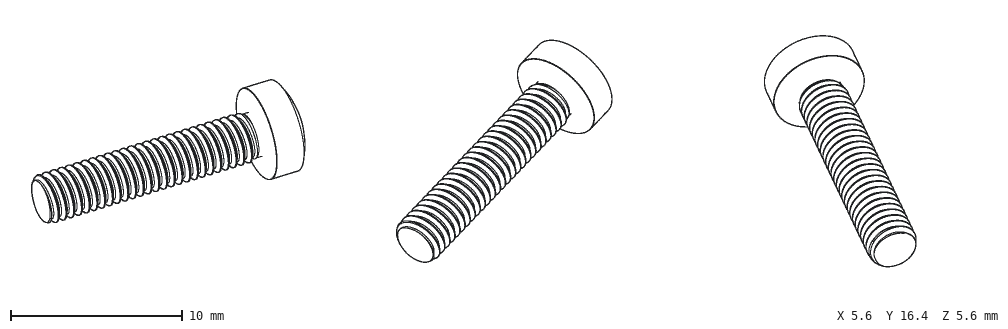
import cadquery as cq
import math

total_length = 16.4
head_diameter = 5.6
head_height = 2.4
dome_radius = 5.0
head_top_diameter = 2.98
head_edge_chamfer = 0.025

neck_diameter = 2.69
neck_length = 0.48
neck_fillet = 0.1

thread_diameter = 3.0
thread_pitch = thread_diameter / 6
thread_flank_angle = 60.0
crest_width = thread_pitch / 8
root_width = thread_pitch / 4
tip_diameter = neck_diameter
thread_taper_length = 0.35
tip_dome_height = 0.03
segment_turns = 2
thread_overlap = 0.03

head_radius = head_diameter / 2
head_top_radius = head_top_diameter / 2
neck_radius = neck_diameter / 2
thread_radius = thread_diameter / 2
tip_radius = tip_diameter / 2
flank_slope = math.tan(math.radians(thread_flank_angle / 2))
thread_depth = (thread_pitch - crest_width - root_width) / 2 / flank_slope
core_radius = thread_radius - thread_depth
tip_dome_radius = (core_radius**2 + tip_dome_height**2) / (2 * tip_dome_height)

tip_y = -total_length / 2
tip_rim_y = tip_y + tip_dome_height
head_top_y = total_length / 2
head_base_y = head_top_y - head_height
thread_top_y = head_base_y - neck_length


def dome_point(radius):
    """Point on the spherical dome, which passes through the rim of the flat head top."""
    centre_y = head_top_y - math.sqrt(dome_radius**2 - head_top_radius**2)
    return radius, centre_y + math.sqrt(dome_radius**2 - radius**2)


def make_head():
    """Cylindrical head with a chamfered underside edge and a flat-topped dome."""
    profile = (
        cq.Workplane("XY")
        .moveTo(0, head_base_y)
        .lineTo(head_radius - head_edge_chamfer, head_base_y)
        .lineTo(head_radius, head_base_y + head_edge_chamfer)
        .lineTo(*dome_point(head_radius))
        .threePointArc(dome_point((head_radius + head_top_radius) / 2), dome_point(head_top_radius))
        .lineTo(0, head_top_y)
        .close()
    )
    return profile.revolve(360, (0, 0, 0), (0, 1, 0))


def make_neck():
    """Plain neck that flares into the underside of the head."""
    fillet_y = head_base_y - neck_fillet
    fillet_mid = neck_fillet * (1 - math.sqrt(0.5))
    profile = (
        cq.Workplane("XY")
        .moveTo(0, thread_top_y)
        .lineTo(neck_radius, thread_top_y)
        .lineTo(neck_radius, fillet_y)
        .threePointArc(
            (neck_radius + fillet_mid, head_base_y - fillet_mid),
            (neck_radius + neck_fillet, head_base_y),
        )
        .lineTo(0, head_base_y)
        .close()
    )
    return profile.revolve(360, (0, 0, 0), (0, 1, 0))


def make_thread_envelope():
    """Thread outer cylinder, tapered towards the tip and towards the neck."""
    profile = (
        cq.Workplane("XY")
        .moveTo(0, tip_rim_y)
        .lineTo(tip_radius, tip_rim_y)
        .lineTo(thread_radius, tip_rim_y + thread_taper_length)
        .lineTo(thread_radius, thread_top_y - thread_taper_length)
        .lineTo(neck_radius, thread_top_y)
        .lineTo(0, thread_top_y)
        .close()
    )
    return profile.revolve(360, (0, 0, 0), (0, 1, 0))


def make_ridge(start_y, length):
    """Right-hand helical thread ridge along Y, bounded by ruled surfaces between helices."""
    base_radius = core_radius - thread_overlap
    half_crest = crest_width / 2
    half_base = half_crest + (thread_radius - base_radius) * flank_slope
    section = [
        (base_radius, -half_base),
        (thread_radius, -half_crest),
        (thread_radius, half_crest),
        (base_radius, half_base),
    ]
    helices = [
        cq.Wire.makeHelix(thread_pitch, length, radius).translate(cq.Vector(0, 0, offset))
        for radius, offset in section
    ]
    sides = [
        cq.Face.makeRuledSurface(helix, helices[(i + 1) % len(helices)]) for i, helix in enumerate(helices)
    ]
    faces = [face for side in sides for face in side.Faces()]
    for height in (0, length):
        corners = [cq.Vector(radius, 0, height + offset) for radius, offset in section]
        faces.append(cq.Face.makeFromWires(cq.Wire.makePolygon(corners, close=True)))
    ridge = cq.Solid.makeSolid(cq.Shell.makeShell(faces))
    return cq.Workplane(ridge).rotate((0, 0, 0), (1, 0, 0), -90).translate((0, start_y, 0))


def make_core():
    """Thread core with a slightly domed tip."""
    profile = (
        cq.Workplane("XY")
        .moveTo(0, thread_top_y)
        .lineTo(core_radius, thread_top_y)
        .lineTo(core_radius, tip_rim_y)
        .radiusArc((0, tip_y), tip_dome_radius)
        .close()
    )
    return profile.revolve(360, (0, 0, 0), (0, 1, 0))


def make_thread():
    """Core with the ridge added segment by segment; its crest crosses +X level with the tip."""
    envelope = make_thread_envelope()
    segment_length = segment_turns * thread_pitch
    start_y = tip_y - thread_pitch
    segment_count = math.ceil((thread_top_y + thread_pitch - start_y) / segment_length)
    thread = make_core()
    for index in range(segment_count):
        ridge = make_ridge(start_y + index * segment_length, segment_length)
        thread = thread.union(ridge.intersect(envelope), clean=False)
    return thread


head_and_neck = make_head().union(make_neck())
result = make_thread().union(head_and_neck, clean=False).solids()